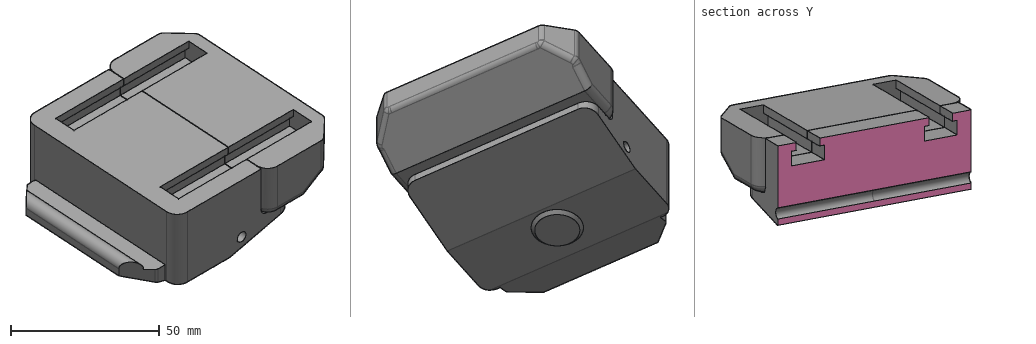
import cadquery as cq
back_y = 43.7
front_y = -43.7

head_width = 80.0
head_length = 35.0
head_height = 20.0
head_chamfer = 8.8
head_back_height = 8.65
head_slope_run = 17.5
head_chamfer_radius = 2.5
head_overrun = 5.2
head_bottom_radius = 2.5
split_y = back_y - head_length

corner_radius = 5.0

body_width = 74.8
body_length = 53.1
body_height = 30.0
body_front_y = -30.7
body_back_y = body_front_y + body_length
body_back_height = 22.8
body_flat_end_y = -6.0

lip_width = 63.7
lip_top_z = -23.05
lip_chamfer = 9.1
lip_corner_radius = 1.5
lip_tip_height = 3.05
lip_slope_start_z = lip_top_z - lip_tip_height
lip_slope_end_y = -29.7
bead_radius = 3.0

slot_width = 9.0
slot_length = 61.6
slot_spacing = 51.35
slot_back_inset = 5.1
slot_back_y = back_y - slot_back_inset
slot_throat_depth = 3.0
slot_depth = 8.0
slot_undercut = 1.75
slot_center_y = slot_back_y - slot_length / 2

joint_gap = 0.2

pin_diameter = 4.0
pin_y = -0.6
pin_z = -24.2
foot_y = -16.15
foot_height = 1.2
foot_base_radius = 8.8
foot_taper = 45.0

selection_margin = 0.9


def side_prism(points, width):
    """Extrude a closed (Y, Z) outline symmetrically along X."""
    return cq.Workplane("YZ").polyline(points).close().extrude(width / 2, both=True)


def edges_near_y(y, direction):
    """Select the edges in one direction whose centres lie close to the given Y."""
    low = (-head_width, y - selection_margin, -2 * body_height)
    high = (head_width, y + selection_margin, body_height)
    slab = cq.selectors.BoxSelector(low, high)
    return cq.selectors.AndSelector(cq.selectors.StringSyntaxSelector(direction), slab)


def make_head():
    """Head with a sloping underside, rounded below all round except along its sharp back edge."""
    half = head_width / 2
    chamfer_y = back_y - head_chamfer
    crease_y = back_y - head_slope_run
    slope = (head_height - head_back_height) / head_slope_run

    overrun_y = back_y + head_overrun
    overrun_x = half - head_chamfer - head_overrun
    plan = (
        cq.Workplane("XY")
        .polyline(
            [
                (-half, split_y),
                (half, split_y),
                (half, chamfer_y),
                (overrun_x, overrun_y),
                (-overrun_x, overrun_y),
                (-half, chamfer_y),
            ]
        )
        .close()
        .extrude(-head_height)
    )
    plan = plan.edges("|Z and <Y").fillet(corner_radius)
    plan = plan.edges("|Z and (<X or >X)").fillet(head_chamfer_radius)
    profile = side_prism(
        [
            (split_y, 0),
            (overrun_y, 0),
            (overrun_y, slope * head_overrun - head_back_height),
            (crease_y, -head_height),
            (split_y, -head_height),
        ],
        head_width,
    )
    head = profile.intersect(plan)

    below_top = cq.selectors.StringSyntaxSelector("not (|Z or >Z)")
    underside_rim = cq.selectors.SubtractSelector(below_top, edges_near_y(crease_y, "|X"))
    head = head.edges(underside_rim).fillet(head_bottom_radius)

    overrun = cq.Workplane("XY").box(head_width, head_overrun, head_height, centered=(True, False, False))
    head = head.cut(overrun.translate((0, back_y, -head_height)))
    return head.faces(">Y").edges("|Z").fillet(head_chamfer_radius)


def make_body():
    """Main body with rounded vertical corners and an underside that rises towards the back."""
    body = side_prism(
        [
            (body_front_y, 0),
            (body_back_y, 0),
            (body_back_y, -body_back_height),
            (body_flat_end_y, -body_height),
            (body_front_y, -body_height),
        ],
        body_width,
    )
    return body.edges("|Z").fillet(corner_radius)


def make_lip():
    """Lip with a half-round bead on its tip and with chamfered corners."""
    root_y = body_front_y + corner_radius
    profile = (
        cq.Workplane("YZ")
        .moveTo(root_y, lip_top_z)
        .lineTo(front_y + 2 * bead_radius, lip_top_z)
        .threePointArc((front_y + bead_radius, lip_top_z + bead_radius), (front_y, lip_top_z))
        .lineTo(front_y, -body_height)
        .lineTo(root_y, -body_height)
        .close()
        .extrude(lip_width / 2, both=True)
    )
    half = lip_width / 2
    chamfer_y = front_y + lip_chamfer
    plan = (
        cq.Workplane("XY")
        .polyline(
            [
                (-half, root_y),
                (-half, chamfer_y),
                (lip_chamfer - half, front_y),
                (half - lip_chamfer, front_y),
                (half, chamfer_y),
                (half, root_y),
            ]
        )
        .close()
        .extrude(-body_height)
    )
    plan = plan.edges(edges_near_y(chamfer_y, "|Z")).fillet(lip_corner_radius)
    return profile.intersect(plan)


def make_front_relief():
    """Wedge below the slope that runs from the lip tip to the flat underside of the body."""
    return side_prism(
        [
            (front_y, -body_height),
            (front_y, lip_slope_start_z),
            (lip_slope_end_y, -body_height),
        ],
        body_width,
    )


def make_slot():
    """T-shaped slot centred on X = 0."""
    throat = cq.Workplane("XY").center(0, slot_center_y).rect(slot_width, slot_length).extrude(-slot_depth)
    undercut = (
        cq.Workplane("XY", origin=(0, slot_center_y, -slot_throat_depth))
        .rect(slot_width + 2 * slot_undercut, slot_length)
        .extrude(slot_throat_depth - slot_depth)
    )
    return throat.union(undercut)


def make_foot():
    """Conical foot narrowing downwards from the underside."""
    return (
        cq.Workplane("XY", origin=(0, foot_y, -body_height))
        .circle(foot_base_radius)
        .extrude(-foot_height, taper=foot_taper)
    )


def make_head_seat():
    """Space cut from the body for the head, leaving a thin gap in front of the head."""
    gap_y = split_y - joint_gap
    seat = side_prism(
        [
            (gap_y, 0),
            (back_y, 0),
            (back_y, -head_height),
            (gap_y, -head_height),
        ],
        head_width,
    )
    return seat.edges("|X and <Y and <Z").fillet(head_bottom_radius)


def make_pin_hole():
    """Cross hole running through the body along X."""
    return (
        cq.Workplane("YZ")
        .center(pin_y, pin_z)
        .circle(pin_diameter / 2)
        .extrude(body_width / 2, both=True)
    )


body = make_body().union(make_lip()).cut(make_front_relief()).cut(make_head_seat())
result = body.union(make_head()).union(make_foot())
for side in (-1, 1):
    result = result.cut(make_slot().translate((side * slot_spacing / 2, 0, 0)))
result = result.cut(make_pin_hole())